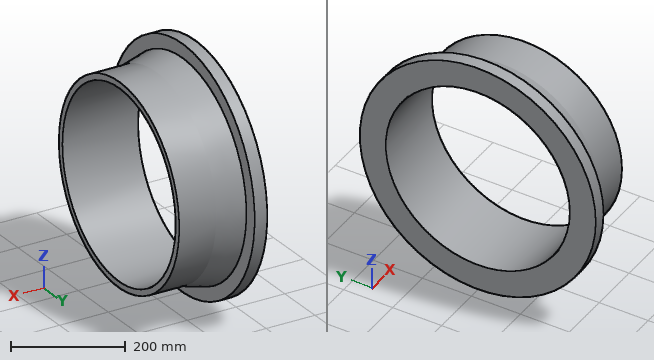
import cadquery as cq

flange_diameter = 482.0
hub_diameter = 427.0
neck_diameter = 400.0
bore_diameter = 375.5

flange_thickness = 26.0
hub_length = 53.5
neck_length = 75.5

hub_end = flange_thickness + hub_length
total_length = hub_end + neck_length

half_section = (
    cq.Workplane("XY")
    .moveTo(0, -bore_diameter / 2)
    .lineTo(0, -flange_diameter / 2)
    .lineTo(flange_thickness, -flange_diameter / 2)
    .lineTo(flange_thickness, -hub_diameter / 2)
    .lineTo(hub_end, -neck_diameter / 2)
    .lineTo(total_length, -neck_diameter / 2)
    .lineTo(total_length, -bore_diameter / 2)
    .close()
)

result = half_section.revolve(360, (0, 0, 0), (1, 0, 0))